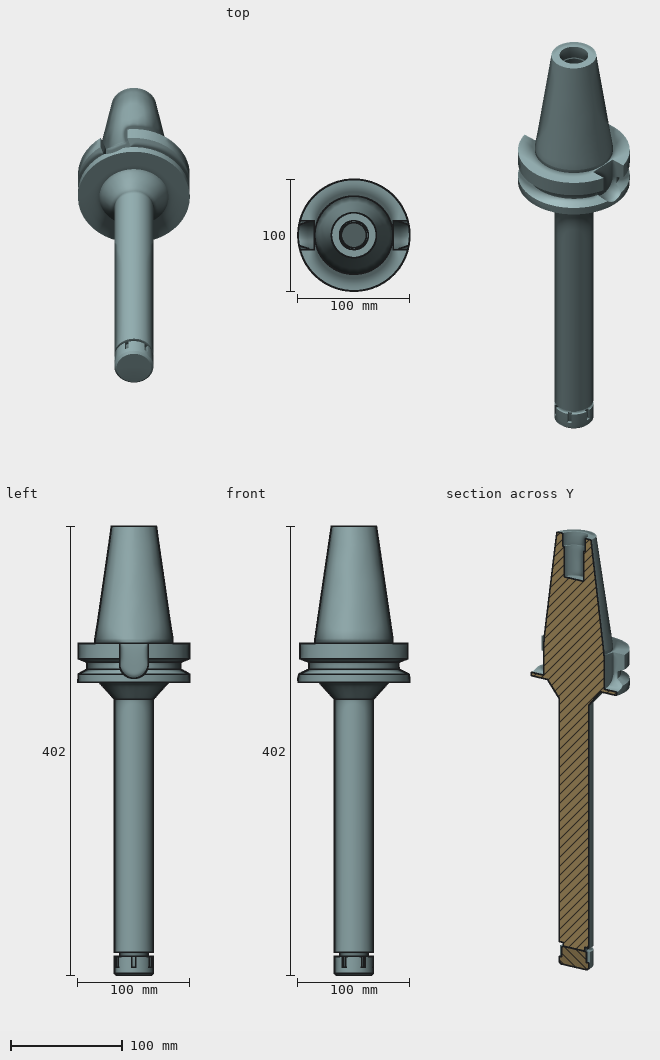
import cadquery as cq

total_height = 402.0
taper_length = 101.5
taper_top_radius = 20.0
gauge_radius = 35.0
gauge_z = total_height - taper_length

flange_radius = 100.0 / 2
flange_top_z = 297.0
flange_bottom_z = 262.0
groove_radius = 42.0
groove_upper_lip_z = 283.3
groove_upper_root_z = 280.0
groove_lower_root_z = 273.5
groove_lower_lip_z = 269.2
drive_slot_width = 25.7
drive_slot_floor_x = 35.5
drive_slot_bottom_z = 265.5

collar_top_radius = 31.0
collar_bottom_z = 247.0
bar_radius = 35.0 / 2
bar_bottom_z = 20.5
neck_radius = 13.0

bore_radius = 11.3
counterbore_radius = 13.0
counterbore_depth = 12.0
bore_depth = 40.0

nut_height = 17.0
nut_chamfer = 2.0
wrench_slot_count = 6
wrench_slot_width = 3.5
wrench_slot_depth = 3.0
wrench_slot_bottom_z = 7.2


def turned_holder():
    """Revolved holder body, from the top of the taper to the neck above the nut."""
    profile = [
        (0, total_height),
        (taper_top_radius, total_height),
        (gauge_radius, gauge_z),
        (gauge_radius, flange_top_z),
        (flange_radius, flange_top_z),
        (flange_radius, groove_upper_lip_z),
        (groove_radius, groove_upper_root_z),
        (groove_radius, groove_lower_root_z),
        (flange_radius, groove_lower_lip_z),
        (flange_radius, flange_bottom_z),
        (collar_top_radius, flange_bottom_z),
        (bar_radius, collar_bottom_z),
        (bar_radius, bar_bottom_z),
        (neck_radius, bar_bottom_z),
        (neck_radius, nut_height),
        (0, nut_height),
    ]
    return cq.Workplane("XZ").polyline(profile).close().revolve(360, (0, 0, 0), (0, 1, 0))


def drive_slot(side):
    """Round-bottomed cutter, open at the top and outer face; side is +1 or -1 along X."""
    half_width = drive_slot_width / 2
    arc_center_z = drive_slot_bottom_z + half_width
    return (
        cq.Workplane("YZ", origin=(side * drive_slot_floor_x, 0, 0))
        .moveTo(-half_width, flange_top_z)
        .lineTo(-half_width, arc_center_z)
        .threePointArc((0, drive_slot_bottom_z), (half_width, arc_center_z))
        .lineTo(half_width, flange_top_z)
        .close()
        .extrude(side * flange_radius)
    )


def taper_bore():
    """Blind bore cutter with a wider counterbore at its mouth."""
    profile = [
        (0, total_height),
        (counterbore_radius, total_height),
        (counterbore_radius, total_height - counterbore_depth),
        (bore_radius, total_height - counterbore_depth),
        (bore_radius, total_height - bore_depth),
        (0, total_height - bore_depth),
    ]
    return cq.Workplane("XZ").polyline(profile).close().revolve(360, (0, 0, 0), (0, 1, 0))


def make_holder():
    """Tool holder: taper, flange, extension bar and neck."""
    body = turned_holder().cut(taper_bore())
    for side in (-1, 1):
        body = body.cut(drive_slot(side))
    return body


def make_nut():
    """Clamping nut seated against the end of the neck."""
    body = cq.Workplane("XY").circle(bar_radius).extrude(nut_height)
    body = body.faces("<Z").edges().chamfer(nut_chamfer)
    slot_center_radius = bar_radius
    slot = (
        cq.Workplane("XY", origin=(slot_center_radius, 0, wrench_slot_bottom_z))
        .rect(2 * wrench_slot_depth, wrench_slot_width)
        .extrude(nut_height - wrench_slot_bottom_z)
    )
    for index in range(wrench_slot_count):
        angle = index * 360 / wrench_slot_count
        body = body.cut(slot.rotate((0, 0, 0), (0, 0, 1), angle))
    return body


holder = make_holder()
nut = make_nut()
result = cq.Compound.makeCompound([holder.val(), nut.val()])